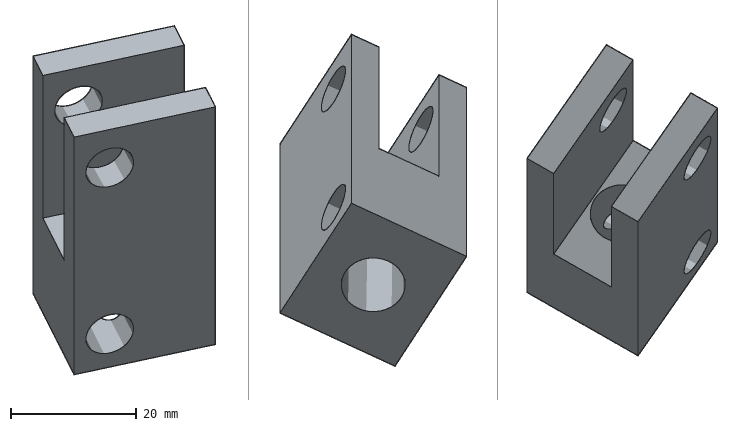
import cadquery as cq

width = 21.0
depth = 23.8
height = 50.0

slot_width = 10.9
slot_depth = 30.0

floor_hole_diameter = 10.2

cross_hole_diameter = 8.0
cross_hole_from_front = 6.0
lower_hole_height = 7.0
upper_hole_from_top = 8.0

block = cq.Workplane("XY").box(width, depth, height, centered=(True, True, False))

slot = (
    cq.Workplane("XY")
    .workplane(offset=height - slot_depth)
    .rect(slot_width, depth)
    .extrude(slot_depth)
)

floor_hole = cq.Workplane("XY").circle(floor_hole_diameter / 2).extrude(height)

cross_hole_y = cross_hole_from_front - depth / 2
cross_holes = (
    cq.Workplane("YZ")
    .pushPoints([
        (cross_hole_y, lower_hole_height),
        (cross_hole_y, height - upper_hole_from_top),
    ])
    .circle(cross_hole_diameter / 2)
    .extrude(width / 2, both=True)
)

result = block.cut(slot).cut(floor_hole).cut(cross_holes)